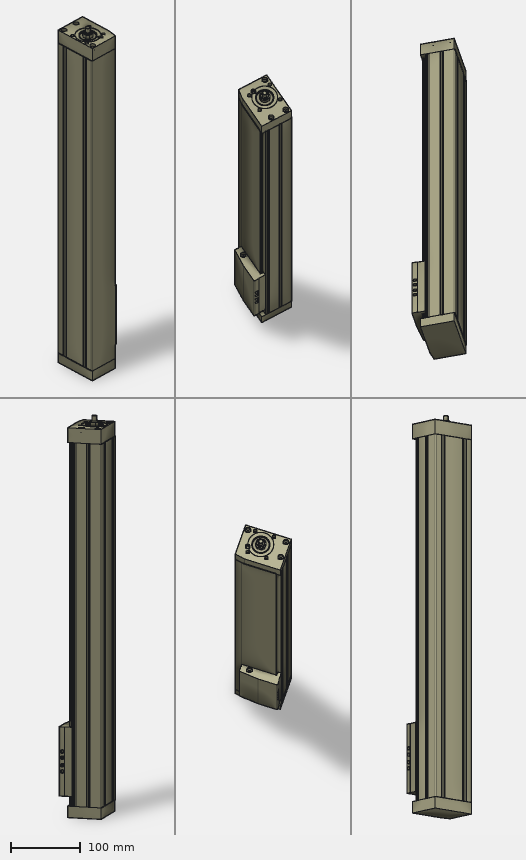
import cadquery as cq

width = 69.0
total_length = 582.0
carriage_top = 64.0

plate_back = 1.0
plate_front = 51.0
plate_slope_start = 54.0
plate_slope_end = 48.5
bottom_plate_length = 17.0
top_plate_start = 547.5
top_plate_end = 569.0

corner_screws = [(6.0, 32.0), (6.0, 7.5), (63.5, 7.5)]
screw_head_diameter = 8.0
screw_head_depth = 6.0
screw_diameter = 3.25
port_centre = (56.0, 31.5)
port_diameter = 7.0
port_bore_diameter = 5.0
port_depth = 3.0
port_bore_depth = 6.0
motor_hole_diameter = 4.9
motor_hole_depth = 9.0
motor_hole_spacing_x = 28.5
motor_hole_spacing_y = 34.5
register_diameter = 37.0
register_depth = 0.5
bearing_recess_diameter = 26.0
bearing_recess_depth = 2.0
bearing_bore_diameter = 24.0
bearing_bore_depth = 2.5

shaft_x = 39.0
shaft_y = 22.5
shaft_diameter = 7.0
shaft_end_chamfer = 0.5
collar_side = 14.0
collar_corner_cut = 3.5
collar_top = 572.5
shoulder_diameter = 11.0
shoulder_top = 574.5

profile_corner_radius = 2.0
shelf_height = 44.0
shelf_chamfer_rise = 2.05
shelf_chamfer_run = 1.0
cover_top = 50.0
cover_edge_top = 7.0
cover_edge_bottom = 8.0
groove_depth = 0.5
back_groove_inset = 14.5
back_groove_mouth = 7.0
back_groove_floor = 3.5
side_groove_y = 20.0
side_groove_mouth = 5.0
side_groove_floor = 2.0
side_channel_low = 38.5
side_channel_high = 41.0
side_channel_depth = 0.5
cover_channel_low = 46.5
cover_channel_high = 48.5
cover_undercut_top = 45.0
cover_channel_floor_x = 9.5

carriage_start = 31.0
carriage_end = 132.0
carriage_width = 59.0
carriage_slope_start = 29.5
carriage_slope_end = 61.0
carriage_corner_radius = 1.0
skirt_bottom = 45.0
skirt_thickness = 6.0
skirt_step_y = 56.0
skirt_step_depth = 0.5
side_hole_y = 59.5
side_hole_diameter = 5.0
side_hole_depth = 4.5
side_hole_offsets = [-14.5, -5.5, 5.5, 14.5]
pilot_offsets = [-5.5, 5.5]
pilot_diameter = 3.25
pilot_depth = 7.0
end_hole_centre = (45.5, 54.5)
end_hole_bore_depth = 11.5


def plate_blank(z_start, z_end):
    """End plate outline with its sloping front corner, extruded along Z."""
    outline = [
        (0, plate_back),
        (width, plate_back),
        (width, plate_slope_end),
        (plate_slope_start, plate_front),
        (0, plate_front),
    ]
    return cq.Workplane("XY").workplane(offset=z_start).polyline(outline).close().extrude(z_end - z_start)


def sunk_hole(centre, z_face, diameter, depth):
    """Blind round cutter that goes down from the level z_face."""
    return (
        cq.Workplane("XY")
        .workplane(offset=z_face)
        .center(*centre)
        .circle(diameter / 2)
        .extrude(-depth)
    )


def make_top_plate():
    thickness = top_plate_end - top_plate_start
    shaft_centre = (shaft_x, shaft_y)
    plate = plate_blank(top_plate_start, top_plate_end)

    plate = plate.cut(sunk_hole(shaft_centre, top_plate_end, register_diameter, register_depth))
    plate = plate.cut(sunk_hole(shaft_centre, top_plate_end, bearing_recess_diameter, bearing_recess_depth))
    plate = plate.cut(sunk_hole(shaft_centre, top_plate_end, bearing_bore_diameter, bearing_bore_depth))
    plate = plate.cut(sunk_hole(shaft_centre, top_plate_end, shaft_diameter, thickness))

    for centre in corner_screws:
        plate = plate.cut(sunk_hole(centre, top_plate_end, screw_head_diameter, screw_head_depth))
        plate = plate.cut(sunk_hole(centre, top_plate_end, screw_diameter, thickness))

    for side_x in (-1, 1):
        for side_y in (-1, 1):
            centre = (
                shaft_x + side_x * motor_hole_spacing_x / 2,
                shaft_y + side_y * motor_hole_spacing_y / 2,
            )
            plate = plate.cut(sunk_hole(centre, top_plate_end, motor_hole_diameter, motor_hole_depth))

    plate = plate.cut(sunk_hole(port_centre, top_plate_end, port_diameter, port_depth))
    return plate.cut(sunk_hole(port_centre, top_plate_end, port_bore_diameter, port_bore_depth))


def make_bottom_plate():
    return plate_blank(0, bottom_plate_length)


def make_shaft():
    """Journal with a round end, carrying an eight-sided collar with a round shoulder."""
    collar_base = top_plate_end - bearing_bore_depth
    journal = (
        cq.Workplane("XY")
        .workplane(offset=top_plate_start)
        .center(shaft_x, shaft_y)
        .circle(shaft_diameter / 2)
        .extrude(total_length - top_plate_start)
        .faces(">Z")
        .chamfer(shaft_end_chamfer)
    )
    collar = (
        cq.Workplane("XY")
        .workplane(offset=collar_base)
        .center(shaft_x, shaft_y)
        .rect(collar_side, collar_side)
        .extrude(collar_top - collar_base)
        .edges("|Z")
        .chamfer(collar_corner_cut)
    )
    shoulder = (
        cq.Workplane("XY")
        .workplane(offset=collar_top)
        .center(shaft_x, shaft_y)
        .circle(shoulder_diameter / 2)
        .extrude(shoulder_top - collar_top)
    )
    return journal.union(collar).union(shoulder)


def profile_groove(mouth, floor):
    """Shallow groove cutter centred on the origin, cutting into +Y, as long as the profile."""
    outline = [
        (-mouth / 2, 0),
        (mouth / 2, 0),
        (floor / 2, groove_depth),
        (-floor / 2, groove_depth),
    ]
    return (
        cq.Workplane("XY")
        .workplane(offset=bottom_plate_length)
        .polyline(outline)
        .close()
        .extrude(top_plate_start - bottom_plate_length)
    )


def left_channel(low, high, floor_x):
    """Square channel cutter from the left side plane in to floor_x, as long as the profile."""
    length = top_plate_start - bottom_plate_length
    channel = cq.Workplane("XY").box(floor_x, high - low, length, centered=False)
    return channel.translate((0, low, bottom_plate_length))


def make_profile():
    length = top_plate_start - bottom_plate_length
    outline = [
        (0, 0),
        (width, 0),
        (width, plate_slope_end),
        (carriage_width, cover_top),
        (cover_edge_top, cover_top),
        (cover_edge_bottom, shelf_height),
        (shelf_chamfer_run, shelf_height),
        (0, shelf_height - shelf_chamfer_rise),
    ]
    profile = (
        cq.Workplane("XY")
        .workplane(offset=bottom_plate_length)
        .polyline(outline)
        .close()
        .extrude(length)
        .edges("|Z and <Y")
        .fillet(profile_corner_radius)
    )

    back_groove = profile_groove(back_groove_mouth, back_groove_floor)
    for x in (back_groove_inset, width - back_groove_inset):
        profile = profile.cut(back_groove.translate((x, 0, 0)))
    side_groove = profile_groove(side_groove_mouth, side_groove_floor).rotate((0, 0, 0), (0, 0, 1), -90)
    profile = profile.cut(side_groove.translate((0, side_groove_y, 0)))

    profile = profile.cut(left_channel(side_channel_low, side_channel_high, side_channel_depth))
    profile = profile.cut(left_channel(cover_channel_low, cover_channel_high, cover_channel_floor_x))
    return profile.cut(left_channel(shelf_height, cover_undercut_top, cover_channel_floor_x))


def side_hole(z, diameter, depth):
    """Round cutter that enters the left side of the carriage."""
    return cq.Workplane("YZ").center(side_hole_y, z).circle(diameter / 2).extrude(depth)


def make_carriage():
    """Slide on the cover, with a skirt hanging down over the left side."""
    outline = [
        (skirt_step_depth, skirt_bottom),
        (skirt_thickness, skirt_bottom),
        (skirt_thickness, cover_top),
        (carriage_width, cover_top),
        (carriage_width, carriage_slope_end),
        (carriage_slope_start, carriage_top),
        (0, carriage_top),
        (0, skirt_step_y),
        (skirt_step_depth, skirt_step_y),
    ]
    carriage = (
        cq.Workplane("XY")
        .workplane(offset=carriage_start)
        .polyline(outline)
        .close()
        .extrude(carriage_end - carriage_start)
    )
    carriage = carriage.edges("|Z and <X").edges(">Y").fillet(carriage_corner_radius)

    middle = (carriage_start + carriage_end) / 2
    for offset in side_hole_offsets:
        carriage = carriage.cut(side_hole(middle + offset, side_hole_diameter, side_hole_depth))
    for offset in pilot_offsets:
        carriage = carriage.cut(side_hole(middle + offset, pilot_diameter, pilot_depth))

    carriage = carriage.cut(sunk_hole(end_hole_centre, carriage_end, screw_head_diameter, screw_head_depth))
    return carriage.cut(sunk_hole(end_hole_centre, carriage_end, screw_diameter, end_hole_bore_depth))


bottom_plate = make_bottom_plate()
top_plate = make_top_plate()
profile = make_profile()
carriage = make_carriage()
shaft = make_shaft()

result = cq.Compound.makeCompound(
    [bottom_plate.val(), top_plate.val(), profile.val(), carriage.val(), shaft.val()]
)